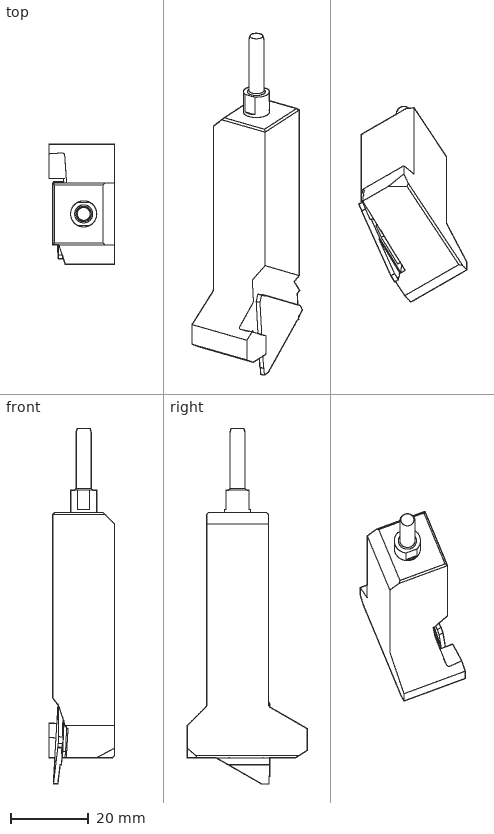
import cadquery as cq
import math

SHANK = 16.0
HALF = SHANK / 2
SHANK_TOP = 63.3
TOP_CHAMFER = 0.5
CORNER_CHAMFER = 3.0

COLLAR_D = 6.75
COLLAR_TOP = 69.1
FLAT_ACROSS = 6.0
FLAT_HEIGHT = 5.0
STEM_D = 3.95
STEM_TOP = 85.0
STEM_TIP_D = 3.35
STEM_TIP_LENGTH = 1.0
STEM_ROOT_CHAMFER = 0.35

HEAD_FRONT = -13.0
HEAD_BACK = 18.0
HEAD_LEFT = -9.0
HEAD_SHOULDER = 13.3
SLOPE = math.radians(30)
HEEL_LENGTH = 3.0
HEEL_HEIGHT = 1.9
SHOULDER_FILLET = 0.8
BOTTOM_CHAMFER = 0.6
FACET_X = 4.7
FACET_Y = 2.9
FACET_Z = 2.5

SEAT_TOP = 15.4
RAMP_RUN = 4.5
FLOOR_X = 4.05
FLOOR_TILT = math.radians(3.9)
CHANNEL_WIDTH = 17.6
WALL_FILLET = 0.7
RAMP_FILLET = 0.5
GAP_BACK = 9.1
FAR = 60.0

OVERALL_HEIGHT = 91.78
INSERT_Y = 1.35
INSERT_BOTTOM = STEM_TOP - OVERALL_HEIGHT
INRADIUS = 7.04
BLADE_END = 10.95
BLADE_LENGTH = 5.0
TIP_LENGTH = 2.0
TIP_STEP = 0.2
BASE_THICKNESS = 0.8
PLATE_THICKNESS = 1.45
BLADE_RELIEF = 0.3
RELIEF_MARGIN = 1.0
BASE_INSET = 1.8

TAN_60 = math.tan(math.radians(60))
THIRD_TURN = math.radians(120)

ACROSS = cq.Vector(0, math.sin(SLOPE), -math.cos(SLOPE))
ALONG = cq.Vector(0, math.cos(SLOPE), math.sin(SLOPE))
SEAT_ORIGIN = cq.Vector(0, -HALF, SEAT_TOP)


def floor_offset(across):
    """Distance of the seat floor from the YZ plane, at a distance across the channel."""
    return FLOOR_X + (across - RAMP_RUN) * math.tan(FLOOR_TILT)


def make_shank():
    shank = cq.Workplane("XY").box(SHANK, SHANK, SHANK_TOP, centered=(True, True, False))
    shank = shank.edges(">X and >Z").chamfer(CORNER_CHAMFER)
    return shank.faces(">Z").edges("<X or <Y or >Y").chamfer(TOP_CHAMFER)


def make_stem():
    """Collar with two flats, and the thin stem above it."""
    collar = (
        cq.Workplane("XY")
        .workplane(offset=SHANK_TOP)
        .circle(COLLAR_D / 2)
        .extrude(COLLAR_TOP - SHANK_TOP)
    )
    flats = (
        cq.Workplane("XY")
        .workplane(offset=COLLAR_TOP - FLAT_HEIGHT)
        .rect(2 * COLLAR_D, 2 * COLLAR_D)
        .rect(2 * COLLAR_D, FLAT_ACROSS)
        .extrude(FLAT_HEIGHT)
    )
    root_radius = STEM_D / 2 + STEM_ROOT_CHAMFER
    stem = (
        cq.Workplane("XZ")
        .moveTo(0, COLLAR_TOP)
        .lineTo(root_radius, COLLAR_TOP)
        .lineTo(STEM_D / 2, COLLAR_TOP + STEM_ROOT_CHAMFER)
        .lineTo(STEM_D / 2, STEM_TOP - STEM_TIP_LENGTH)
        .lineTo(STEM_TIP_D / 2, STEM_TOP)
        .lineTo(0, STEM_TOP)
        .close()
        .revolve(360, (0, 0, 0), (0, 1, 0))
    )
    return collar.cut(flats).union(stem)


def make_head():
    front_height = HEAD_SHOULDER - (-HALF - HEAD_FRONT)
    back_height = HEAD_SHOULDER - (HEAD_BACK - HALF) * math.tan(SLOPE)
    return (
        cq.Workplane("YZ", origin=(HEAD_LEFT, 0, 0))
        .moveTo(HEAD_FRONT, 0)
        .lineTo(HEAD_BACK - HEEL_LENGTH, 0)
        .lineTo(HEAD_BACK, HEEL_HEIGHT)
        .lineTo(HEAD_BACK, back_height)
        .lineTo(HALF, HEAD_SHOULDER)
        .lineTo(-HALF, HEAD_SHOULDER)
        .lineTo(HEAD_FRONT, front_height)
        .close()
        .extrude(HALF - HEAD_LEFT)
    )


def make_corner_facet():
    """Tetrahedron that takes off the bottom corner at +X, -Y."""
    corner = cq.Vector(HALF, HEAD_FRONT, 0)
    x_point = corner + cq.Vector(-FACET_X, 0, 0)
    y_point = corner + cq.Vector(0, FACET_Y, 0)
    z_point = corner + cq.Vector(0, 0, FACET_Z)
    triangles = [
        (corner, x_point, y_point),
        (corner, y_point, z_point),
        (corner, z_point, x_point),
        (x_point, y_point, z_point),
    ]
    faces = [cq.Face.makeFromWires(cq.Wire.makePolygon(points, close=True)) for points in triangles]
    return cq.Workplane(cq.Solid.makeSolid(cq.Shell.makeShell(faces)))


def seat_cutter(width, wall_fillet=0.0):
    """Channel with a ramp on its upper side, a tilted floor and a lower wall square to the floor."""
    ramp_rise = HALF - FLOOR_X
    wall_top = HALF + ramp_rise
    wall_lean = (wall_top - floor_offset(width)) * math.tan(FLOOR_TILT)
    plane = cq.Plane(SEAT_ORIGIN - ALONG * FAR, xDir=ACROSS, normal=ALONG)
    cutter = (
        cq.Workplane(plane)
        .moveTo(-RAMP_RUN, wall_top)
        .lineTo(RAMP_RUN, FLOOR_X)
        .lineTo(width, floor_offset(width))
        .lineTo(width - wall_lean, wall_top)
        .close()
        .extrude(2 * FAR)
    )
    ramp_foot = SEAT_ORIGIN + ACROSS * RAMP_RUN - cq.Vector(FLOOR_X, 0, 0)
    cutter = cutter.edges(cq.NearestToPointSelector(ramp_foot.toTuple())).fillet(RAMP_FILLET)
    if wall_fillet:
        wall_foot = SEAT_ORIGIN + ACROSS * width - cq.Vector(floor_offset(width), 0, 0)
        cutter = cutter.edges(cq.NearestToPointSelector(wall_foot.toTuple())).fillet(wall_fillet)
    return cutter


def make_holder():
    holder = make_shank().union(make_head())
    for side in (-HALF, HALF):
        selector = cq.NearestToPointSelector((0, side, HEAD_SHOULDER))
        holder = holder.edges(selector).fillet(SHOULDER_FILLET)
    holder = holder.edges(">X and <Z").chamfer(BOTTOM_CHAMFER)
    holder = holder.cut(make_corner_facet())
    front_space = cq.Workplane("XY").box(2 * FAR, FAR, 2 * FAR).translate((0, GAP_BACK - FAR / 2, 0))
    holder = holder.cut(seat_cutter(CHANNEL_WIDTH, WALL_FILLET))
    holder = holder.cut(seat_cutter(FAR).intersect(front_space))
    return holder.union(make_stem())


def turned(point, turn):
    """Point turned by whole thirds about the insert's middle."""
    angle = turn * THIRD_TURN
    x, y = point
    return (
        x * math.cos(angle) - y * math.sin(angle),
        x * math.sin(angle) + y * math.cos(angle),
    )


def three_fold(points):
    """Outline made of the same points at each of the three corners."""
    return [turned(point, turn) for turn in range(3) for point in points]


def make_insert():
    lift = (BASE_THICKNESS + BLADE_RELIEF) * math.sin(FLOOR_TILT) * math.cos(SLOPE)
    tilt_shortening = math.sin(SLOPE) ** 2 + math.cos(SLOPE) ** 2 * math.cos(FLOOR_TILT)
    middle_z = INSERT_BOTTOM + BLADE_END * tilt_shortening - lift
    middle_across = (INSERT_Y + HALF) * math.sin(SLOPE) + (SEAT_TOP - middle_z) * math.cos(SLOPE)
    outward = cq.Vector(-math.cos(FLOOR_TILT), 0, 0) - ACROSS * math.sin(FLOOR_TILT)
    seat = cq.Plane((-floor_offset(middle_across), INSERT_Y, middle_z), xDir=ALONG, normal=outward)

    corner_x = INRADIUS * TAN_60
    blade_width = (corner_x - BLADE_END) * TAN_60
    blade_tip = [
        (BLADE_END - TIP_LENGTH, -INRADIUS),
        (BLADE_END - TIP_LENGTH, TIP_STEP - INRADIUS),
        (BLADE_END, TIP_STEP - INRADIUS),
        (BLADE_END, blade_width - INRADIUS),
    ]
    plate = (
        cq.Workplane(seat)
        .workplane(offset=BASE_THICKNESS)
        .polyline(three_fold(blade_tip))
        .close()
        .extrude(PLATE_THICKNESS)
    )

    root_x = BLADE_END - BLADE_LENGTH
    root_width = (corner_x - root_x) * TAN_60
    for turn in range(3):
        relief = [
            (root_x, -INRADIUS - RELIEF_MARGIN),
            (corner_x, -INRADIUS - RELIEF_MARGIN),
            (corner_x, root_width - INRADIUS + RELIEF_MARGIN),
            (root_x, root_width - INRADIUS + RELIEF_MARGIN),
        ]
        cut = (
            cq.Workplane(seat)
            .workplane(offset=BASE_THICKNESS)
            .polyline([turned(point, turn) for point in relief])
            .close()
            .extrude(BLADE_RELIEF)
        )
        plate = plate.cut(cut)

    base_inradius = INRADIUS - BASE_INSET
    base_corner_x = base_inradius * TAN_60
    base_root_x = root_x - BASE_INSET
    base_width = (base_corner_x - base_root_x) * TAN_60
    base_corner = [
        (base_root_x, -base_inradius),
        (base_root_x, base_width - base_inradius),
    ]
    base = cq.Workplane(seat).polyline(three_fold(base_corner)).close().extrude(BASE_THICKNESS)
    return plate.union(base)


holder = make_holder()
insert = make_insert()
result = cq.Compound.makeCompound([holder.solids().val(), insert.solids().val()])